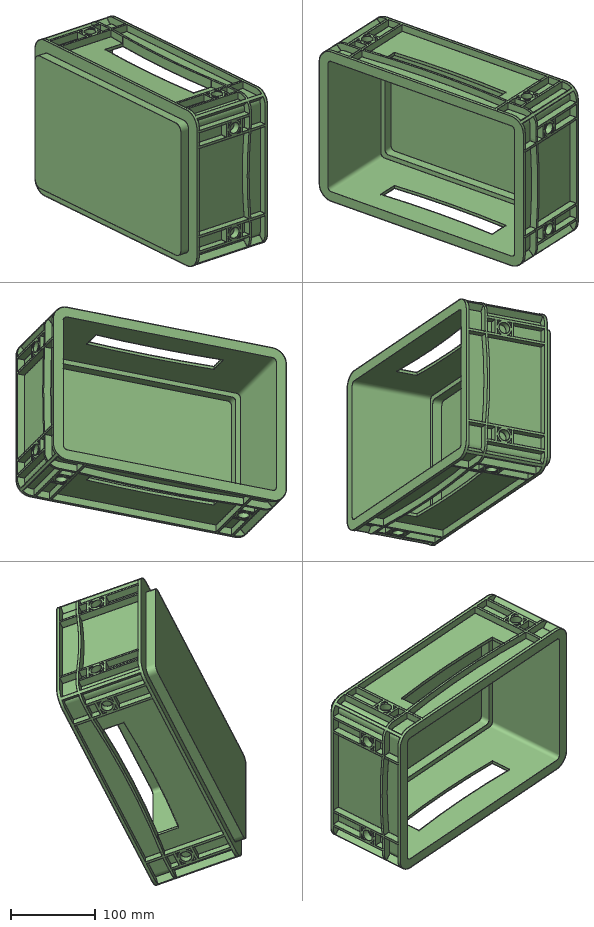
import cadquery as cq

LENGTH = 300.0
WIDTH = 200.0
HEIGHT = 120.0
CORNER_RADIUS = 18.0

FOOT_HEIGHT = 12.0
FOOT_INSET = 15.0
FOOT_RADIUS = 9.0

FLANGE_THICKNESS = 4.0
RECESS_DEPTH = 9.0
WALL_THICKNESS = 4.0

RIB_THICKNESS = 3.0
SHORT_RIB_PLACE = 21.0
LONG_RIB_PLACE = 41.0
CORNER_RIB_THICKNESS = 4.0
BAND_TOP_DROP = 25.0
LONG_SIDE_SAG = 5.0
LONG_SIDE_SAG_HALF_SPAN = LENGTH / 2 - LONG_RIB_PLACE
SHORT_SIDE_SAG = 3.3
SHORT_SIDE_SAG_HALF_SPAN = 63.0

BOSS_DROP = 50.7
BOSS_RADIUS = 9.5
BOSS_HOLE_RADIUS = 7.0
BOSS_CELL_HEIGHT = 18.5

HANDLE_HALF_LENGTH = 82.0
HANDLE_HEIGHT = 27.0
HANDLE_BITE = 0.3

FLANGE_TOP = FOOT_HEIGHT + FLANGE_THICKNESS
RIM_BOTTOM = HEIGHT - FLANGE_THICKNESS
BAND_TOP = HEIGHT - BAND_TOP_DROP
BAND_BOTTOM = BAND_TOP - RIB_THICKNESS
BOSS_Y = HEIGHT - BOSS_DROP
CAVITY_INSET = RECESS_DEPTH + WALL_THICKNESS
RIB_DEPTH = RECESS_DEPTH + WALL_THICKNESS / 2


def rounded_slab(inset, radius, bottom, top):
    """Rounded rectangle, inset from the outer outline, between two heights along Y."""
    return (
        cq.Workplane("XZ", origin=(0, bottom, 0))
        .rect(LENGTH - 2 * inset, WIDTH - 2 * inset)
        .extrude(bottom - top)
        .edges("|Y")
        .fillet(radius)
    )


def bar(left, right, bottom, top, base):
    """Upright block reaching from the base level outwards by the rib depth."""
    return (
        cq.Workplane("XY", origin=(0, 0, base))
        .center((left + right) / 2, (bottom + top) / 2)
        .rect(right - left, top - bottom)
        .extrude(RIB_DEPTH)
    )


def sagging_band(length, half_span, sag, base):
    """Long rib, straight near the corners and sagging in an arc between them."""
    end = length / 2
    return (
        cq.Workplane("XY", origin=(0, 0, base))
        .moveTo(-end, BAND_TOP)
        .lineTo(-half_span, BAND_TOP)
        .threePointArc((0, BAND_TOP - sag), (half_span, BAND_TOP))
        .lineTo(end, BAND_TOP)
        .lineTo(end, BAND_BOTTOM)
        .lineTo(half_span, BAND_BOTTOM)
        .threePointArc((0, BAND_BOTTOM - sag), (-half_span, BAND_BOTTOM))
        .lineTo(-end, BAND_BOTTOM)
        .close()
        .extrude(RIB_DEPTH)
    )


def boss_group(length, base):
    """Ribs and the round boss near the left end of a side."""
    short_rib = SHORT_RIB_PLACE - length / 2
    long_rib = LONG_RIB_PLACE - length / 2
    cell_left = short_rib + RIB_THICKNESS
    group = bar(short_rib, cell_left, FOOT_HEIGHT, BAND_BOTTOM, base)
    group = group.union(bar(long_rib, long_rib + RIB_THICKNESS, FOOT_HEIGHT, HEIGHT, base))
    for rib_bottom in (
        BOSS_Y - BOSS_CELL_HEIGHT / 2 - RIB_THICKNESS,
        BOSS_Y + BOSS_CELL_HEIGHT / 2,
    ):
        group = group.union(bar(short_rib, long_rib, rib_bottom, rib_bottom + RIB_THICKNESS, base))
    boss = (
        cq.Workplane("XY", origin=((cell_left + long_rib) / 2, BOSS_Y, base))
        .circle(BOSS_RADIUS)
        .circle(BOSS_HOLE_RADIUS)
        .extrude(RIB_DEPTH)
    )
    return group.union(boss)


def side_ribs(length, distance, half_span, sag):
    """All ribs of the two opposite sides lying at +Z and -Z by the given distance."""
    base = distance - RIB_DEPTH
    group = boss_group(length, base)
    ribs = sagging_band(length, half_span, sag, base).union(group).union(group.mirror("YZ"))
    return ribs.union(ribs.mirror("XY"))


def corner_ribs():
    """Upright ribs pointing diagonally out of the four corners."""
    length = CORNER_RADIUS + RIB_THICKNESS
    centre_x = LENGTH / 2 - CORNER_RADIUS
    centre_z = WIDTH / 2 - CORNER_RADIUS
    rib = (
        cq.Workplane("XY")
        .box(length, HEIGHT - FOOT_HEIGHT, CORNER_RIB_THICKNESS, centered=(False, False, True))
        .rotate((0, 0, 0), (0, 1, 0), -45)
        .translate((centre_x, FOOT_HEIGHT, centre_z))
    )
    pair = rib.union(rib.mirror("YZ"))
    return pair.union(pair.mirror("XY"))


def hand_hole():
    """Curved slot through both long sides, its edges parallel to the band."""
    arc_radius = (LONG_SIDE_SAG_HALF_SPAN**2 + LONG_SIDE_SAG**2) / (2 * LONG_SIDE_SAG)
    middle_top = BAND_BOTTOM - LONG_SIDE_SAG + HANDLE_BITE
    middle_bottom = middle_top - HANDLE_HEIGHT
    end_top = middle_top + arc_radius - (arc_radius**2 - HANDLE_HALF_LENGTH**2) ** 0.5
    end_bottom = end_top - HANDLE_HEIGHT
    return (
        cq.Workplane("XY")
        .moveTo(-HANDLE_HALF_LENGTH, end_top)
        .threePointArc((0, middle_top), (HANDLE_HALF_LENGTH, end_top))
        .lineTo(HANDLE_HALF_LENGTH, end_bottom)
        .threePointArc((0, middle_bottom), (-HANDLE_HALF_LENGTH, end_bottom))
        .close()
        .extrude(WIDTH, both=True)
    )


long_side_ribs = side_ribs(LENGTH, WIDTH / 2, LONG_SIDE_SAG_HALF_SPAN, LONG_SIDE_SAG)
short_side_ribs = side_ribs(WIDTH, LENGTH / 2, SHORT_SIDE_SAG_HALF_SPAN, SHORT_SIDE_SAG)
short_side_ribs = short_side_ribs.rotate((0, 0, 0), (0, 1, 0), 90)

ribs = long_side_ribs.union(short_side_ribs).union(corner_ribs())
ribs = ribs.intersect(rounded_slab(0, CORNER_RADIUS, FOOT_HEIGHT, HEIGHT))

body = rounded_slab(RECESS_DEPTH, CORNER_RADIUS - RECESS_DEPTH, FOOT_HEIGHT, HEIGHT)
body = body.union(rounded_slab(0, CORNER_RADIUS, FOOT_HEIGHT, FLANGE_TOP))
body = body.union(rounded_slab(0, CORNER_RADIUS, RIM_BOTTOM, HEIGHT))
body = body.union(rounded_slab(FOOT_INSET, FOOT_RADIUS, 0, FLANGE_TOP))
body = body.union(ribs)

cavity = rounded_slab(CAVITY_INSET, CORNER_RADIUS - CAVITY_INSET, FLANGE_TOP, HEIGHT)
cavity = cavity.union(
    rounded_slab(FOOT_INSET + WALL_THICKNESS, FOOT_RADIUS - WALL_THICKNESS, WALL_THICKNESS, FLANGE_TOP)
)
result = body.cut(cavity).cut(hand_hole())